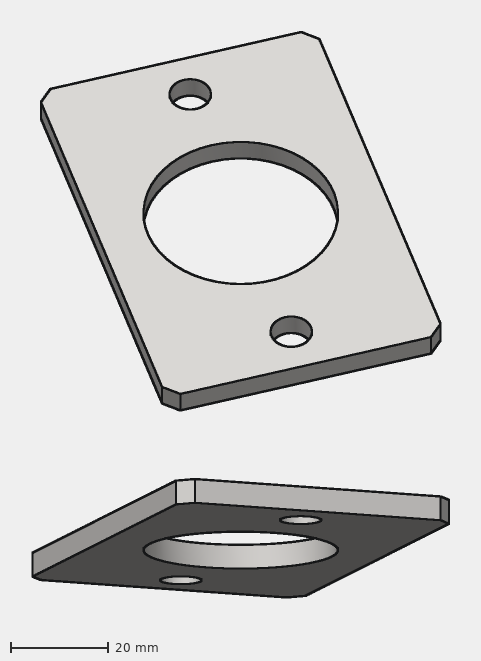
import cadquery as cq

plate_length = 90.0
plate_width = 60.0
plate_thickness = 5.0
corner_chamfer = 3.0

bore_diameter = 40.0
mount_hole_diameter = 8.5
mount_hole_spacing = 70.0


def make_plate():
    """Rectangular plate with its four vertical corners chamfered."""
    plate = cq.Workplane("XY").box(plate_length, plate_width, plate_thickness)
    return plate.edges("|Z").chamfer(corner_chamfer)


def cut_bore(plate):
    """Large central through bore."""
    return plate.faces(">Z").workplane().hole(bore_diameter)


def cut_mount_holes(plate):
    """Two through holes on the X axis, one on each side of the bore."""
    half_spacing = mount_hole_spacing / 2
    centres = [(-half_spacing, 0), (half_spacing, 0)]
    return plate.faces(">Z").workplane().pushPoints(centres).hole(mount_hole_diameter)


result = cut_mount_holes(cut_bore(make_plate()))